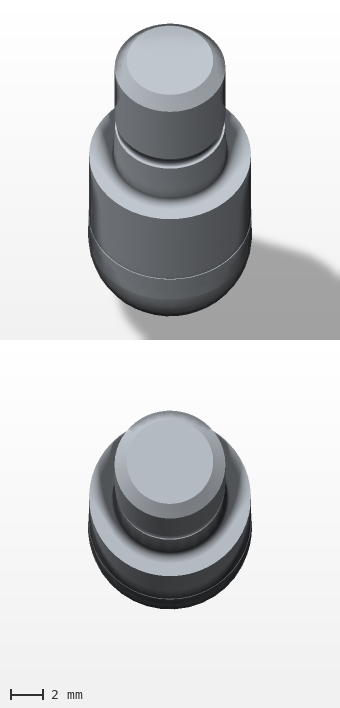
import cadquery as cq

ball_radius = 5.0
band_top_z = 7.0
band_top_radius = 4.97
collar_radius = 4.93
joint_z = 8.5
shoulder_z = 13.0
seat_fillet = 0.2
seat_base_radius = 3.49
seat_top_radius = 3.35
seat_top_z = 16.02
groove_radius = 3.04
groove_fillet = 0.2
groove_top_z = 16.38
shank_radius = 3.38
shank_bottom_z = 17.0
top_chamfer = 0.75
overall_height = 22.5


def make_tip():
    """Hemispherical tip with a slightly tapered band and a plain neck."""
    arc_offset = ball_radius * 0.5 ** 0.5
    profile = (
        cq.Workplane("XZ")
        .moveTo(0, 0)
        .threePointArc((arc_offset, ball_radius - arc_offset), (ball_radius, ball_radius))
        .lineTo(band_top_radius, band_top_z)
        .lineTo(collar_radius, band_top_z)
        .lineTo(collar_radius, joint_z)
        .lineTo(0, joint_z)
        .close()
    )
    return profile.revolve(360, (0, 0, 0), (0, 1, 0))


def make_holder():
    """Turned holder: collar, tapered seat, undercut and chamfered shank."""
    profile = (
        cq.Workplane("XZ")
        .moveTo(0, joint_z)
        .lineTo(collar_radius, joint_z)
        .lineTo(collar_radius, shoulder_z)
        .lineTo(seat_base_radius + seat_fillet, shoulder_z)
        .radiusArc((seat_base_radius, shoulder_z + seat_fillet), seat_fillet)
        .lineTo(seat_top_radius, seat_top_z)
        .lineTo(groove_radius + groove_fillet, seat_top_z)
        .radiusArc((groove_radius, seat_top_z + groove_fillet), groove_fillet)
        .lineTo(groove_radius, groove_top_z)
        .lineTo(shank_radius, shank_bottom_z)
        .lineTo(shank_radius, overall_height - top_chamfer)
        .lineTo(shank_radius - top_chamfer, overall_height)
        .lineTo(0, overall_height)
        .close()
    )
    return profile.revolve(360, (0, 0, 0), (0, 1, 0))


tip = make_tip()
holder = make_holder()

result = cq.Compound.makeCompound([tip.val(), holder.val()])